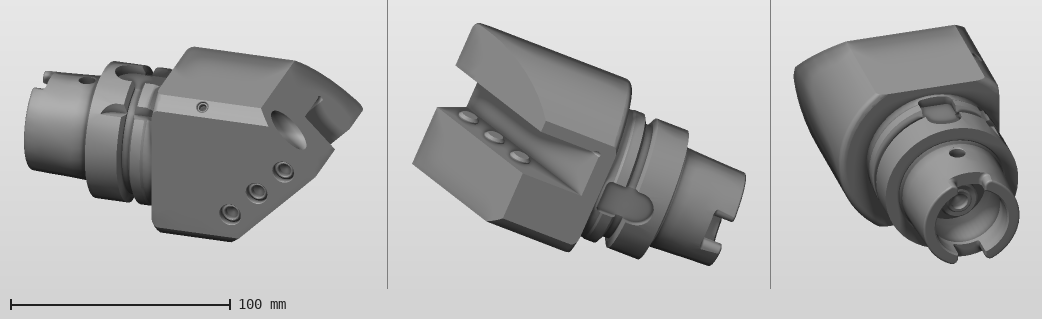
import cadquery as cq
import math


overall_length = 142

shank_end_x = -32.0
shank_end_radius = 45.6 / 2
shank_root_radius = 48.4 / 2
shank_edge_fillet = 1.0
neck_length = 2.0
neck_radius = 23.9
neck_flank = 0.4
face_groove_floor_radius = 24.8
face_groove_radius = 25.4
face_groove_depth = 0.4

bore_radius = 34.0 / 2
bore_chamfer = 0.7
clamp_recess_start_x = -19.7
clamp_recess_radius = 18.3
clamp_recess_angle = 60
bore_floor_radius = 16.0
bore_floor_x = 0.0
spigot_radius = 18.0 / 2
spigot_face_radius = 16.0 / 2
spigot_end_x = -11.5
nipple_base_radius = 12.0 / 2
nipple_face_radius = 10.5 / 2
spigot_hole_radius = 8.0 / 2
spigot_hole_depth = 2.8
spigot_hole_cone = 2.8

drive_slot_half_width = 6.2
drive_slot_crest = 20.7
drive_slot_lip_radius = 2.8
drive_slot_floor_radius = 1.4
top_slot_depth = 6.1
bottom_slot_depth = 10.1
access_hole_x = -8.8
access_hole_diameter = 7.5
access_hole_mouth = 9.0
access_hole_sink_angle = 120
access_hole_crest_z = 24.0

flange_radius = 62.9 / 2
flange_rear_x = 26.1
collar_radius = 62.0 / 2
collar_start_x = 27.3
groove_radius = 27.4
groove_wall_height = 1.4
groove_front_x = 15.0
groove_rear_x = 21.5
groove_floor_start_x = 16.5
groove_floor_end_x = 20.0

keyway_start_x = 5.0
keyway_end_x = 30.0
keyway_radius = 8.0
keyway_corner_radius = 2.5
keyway_floor_z = 26.4
notch_start_x = 4.3
notch_floor_z = 19.9
notch_wall_y = -20.0

head_start_x = 32.0
head_end_x = shank_end_x + overall_length
head_radius = 43.5
head_edge_fillet = 3.0
head_half_height = 70.0 / 2
head_flat_y = -32.0
nose_z = 7.1
nose_angle = 45

pocket_depth = 20.5
pocket_floor_wall_y = 19.9
pocket_screw_wall_y = -2.0
pocket_relief_radius = 1.4
pocket_relief_offset = 1.06
pocket_relief_y = 19.5

screw_mouth = 10.5
screw_diameter = 10.0
screw_count = 3
screw_pitch = 17.9
first_screw_x = 94.7
first_screw_z = 7.4
screw_face = 7.5
screw_socket = 6.0
screw_recess = 1.8
screw_socket_depth = 2.8
screw_clearance = 2.8
screw_tip_radius = 3.7
screw_tip_y = 0.0

outlet_diameter = 16.0
outlet_y = -20.9
outlet_z = 23.3
outlet_start_x = 65.3
plug_x = 55.1
plug_y = -28.4
plug_mouth = 6.0
plug_diameter = 5.3
plug_face = 4.3
plug_socket = 3.4
plug_recess = 0.7
plug_socket_depth = 2.1


def revolve_about_x(points):
    """Turn a closed outline of (x, radius) points about the X axis."""
    return cq.Workplane("XY").polyline(points).close().revolve(360, (0, 0, 0), (1, 0, 0))


def make_shank_and_flange():
    return revolve_about_x([
        (shank_end_x, 0),
        (shank_end_x, shank_end_radius),
        (-neck_length, shank_root_radius),
        (neck_flank - neck_length, neck_radius),
        (-neck_flank, neck_radius),
        (face_groove_depth, face_groove_floor_radius),
        (0, face_groove_radius),
        (0, flange_radius),
        (groove_front_x, flange_radius),
        (groove_floor_start_x, groove_radius + groove_wall_height),
        (groove_floor_start_x, groove_radius),
        (groove_floor_end_x, groove_radius),
        (groove_floor_end_x, groove_radius + groove_wall_height),
        (groove_rear_x, flange_radius),
        (flange_rear_x, flange_radius),
        (collar_start_x, collar_radius),
        (head_start_x, collar_radius),
        (head_start_x, 0),
    ])


def make_bore():
    """Space inside the shank, leaving the stepped coolant spigot standing."""
    nipple_height = nipple_base_radius - nipple_face_radius
    recess_cone_length = (clamp_recess_radius - bore_radius) / math.tan(math.radians(clamp_recess_angle))
    floor_cone_length = clamp_recess_radius - bore_floor_radius
    spigot_chamfer = spigot_radius - spigot_face_radius
    nipple_end_x = spigot_end_x - nipple_height
    hole_end_x = nipple_end_x + spigot_hole_depth
    return revolve_about_x([
        (shank_end_x, 0),
        (shank_end_x, bore_radius + bore_chamfer),
        (shank_end_x + bore_chamfer, bore_radius),
        (clamp_recess_start_x, bore_radius),
        (clamp_recess_start_x + recess_cone_length, clamp_recess_radius),
        (bore_floor_x - floor_cone_length, clamp_recess_radius),
        (bore_floor_x, bore_floor_radius),
        (bore_floor_x, spigot_radius),
        (spigot_end_x + spigot_chamfer, spigot_radius),
        (spigot_end_x, spigot_face_radius),
        (spigot_end_x, nipple_base_radius),
        (nipple_end_x, nipple_face_radius),
        (nipple_end_x, spigot_hole_radius),
        (hole_end_x, spigot_hole_radius),
        (hole_end_x + spigot_hole_cone, 0),
    ])


def make_drive_slot(depth, side):
    """Slot across the shank wall on the +Z (side = 1) or -Z (side = -1) half."""
    half = drive_slot_half_width
    lip = drive_slot_lip_radius
    crest = drive_slot_crest
    outer = flange_radius
    arc_mid = lip * (1 - math.sqrt(0.5))
    slot = (
        cq.Workplane("YZ", origin=(shank_end_x, 0, 0))
        .moveTo(-half, 0)
        .lineTo(-half, crest - lip)
        .threePointArc((-half - arc_mid, crest - arc_mid), (-half - lip, crest))
        .lineTo(-outer, crest)
        .lineTo(-outer, outer)
        .lineTo(outer, outer)
        .lineTo(outer, crest)
        .lineTo(half + lip, crest)
        .threePointArc((half + arc_mid, crest - arc_mid), (half, crest - lip))
        .lineTo(half, 0)
        .close()
        .extrude(depth)
        .faces(">X").edges("not <Z").fillet(drive_slot_floor_radius)
    )
    return slot if side > 0 else slot.mirror("XY")


def make_access_hole():
    """Radial hole with a countersink, from the clamping recess out through +Z."""
    hole_radius = access_hole_diameter / 2
    mouth_radius = access_hole_mouth / 2
    sink_depth = (mouth_radius - hole_radius) / math.tan(math.radians(access_hole_sink_angle / 2))
    return (
        cq.Workplane("XZ", origin=(access_hole_x, 0, 0))
        .polyline([
            (0, bore_radius),
            (hole_radius, bore_radius),
            (hole_radius, access_hole_crest_z - sink_depth),
            (mouth_radius, access_hole_crest_z),
            (mouth_radius, flange_radius),
            (0, flange_radius),
        ])
        .close()
        .revolve(360, (0, 0, 0), (0, 1, 0))
    )


def make_keyway(start_x, center_y, floor_z):
    """Key slot with a round front end, open outward from its floor in +Z."""
    straight_start_x = start_x + keyway_radius
    round_end = cq.Workplane("XY", origin=(straight_start_x, center_y, floor_z))
    round_end = round_end.circle(keyway_radius).extrude(flange_radius)
    length = keyway_end_x - straight_start_x
    straight = (
        cq.Workplane("XY", origin=(straight_start_x, center_y, floor_z))
        .rect(length, 2 * keyway_radius)
        .extrude(flange_radius)
        .translate((length / 2, 0, 0))
        .edges("|Z and >X").fillet(keyway_corner_radius)
    )
    return round_end.union(straight)


def make_head():
    length = head_end_x - head_start_x
    turned = cq.Workplane("YZ", origin=(head_start_x, 0, 0)).circle(head_radius).extrude(length)
    turned = turned.faces("<X or >X").edges().fillet(head_edge_fillet)
    nose_slope = math.tan(math.radians(nose_angle))
    top_x = head_end_x - (head_half_height - nose_z) / nose_slope
    bottom_x = head_end_x - (head_half_height + nose_z) / nose_slope
    outline = (
        cq.Workplane("XZ", origin=(0, head_flat_y, 0))
        .polyline([
            (head_start_x, -head_half_height),
            (bottom_x, -head_half_height),
            (head_end_x, nose_z),
            (top_x, head_half_height),
            (head_start_x, head_half_height),
        ])
        .close()
        .extrude(head_flat_y - head_radius)
    )
    return turned.intersect(outline)


def make_tool_pocket():
    """Channel of rectangular section, with a relieved corner, parallel to the lower nose face."""
    nose = cq.Plane(
        origin=(head_end_x, 0, nose_z),
        xDir=(0, 1, 0),
        normal=(math.cos(math.radians(nose_angle)), 0, math.sin(math.radians(nose_angle))),
    )
    width = pocket_floor_wall_y - pocket_screw_wall_y
    middle_y = (pocket_floor_wall_y + pocket_screw_wall_y) / 2
    channel = cq.Workplane(nose).center(middle_y, 0).rect(width, 2 * pocket_depth)
    channel = channel.extrude(overall_length, both=True)
    relief = cq.Workplane(nose).center(pocket_relief_y, pocket_depth - pocket_relief_offset)
    relief = relief.circle(pocket_relief_radius).extrude(overall_length, both=True)
    return channel.union(relief)


def make_screw_recess(place, outward, mouth, diameter, face, socket, recess, socket_depth):
    """Space left above a set screw sunk at 'place'; 'outward' is the (y, z) direction out of the hole."""
    mouth_radius = mouth / 2
    hole_radius = diameter / 2
    face_radius = face / 2
    socket_radius = socket / 2
    socket_chamfer = (face_radius - socket_radius) / 2
    socket_floor = recess + socket_depth
    out_y, out_z = outward
    section = cq.Plane(origin=place, xDir=(1, 0, 0), normal=(0, -out_z, out_y))
    return (
        cq.Workplane(section)
        .polyline([
            (0, screw_clearance),
            (mouth_radius, screw_clearance),
            (mouth_radius, 0),
            (hole_radius, hole_radius - mouth_radius),
            (hole_radius, -recess - (hole_radius - face_radius)),
            (face_radius, -recess),
            (socket_radius + socket_chamfer, -recess),
            (socket_radius, -recess - socket_chamfer),
            (socket_radius, -socket_floor),
            (0, -socket_floor - socket_radius / 2),
        ])
        .close()
        .revolve(360, (0, 0, 0), (0, 1, 0))
    )


def clamp_screw_places():
    """(x, z) of the clamping screws, in a row parallel to the lower nose face."""
    step_x = screw_pitch * math.cos(math.radians(nose_angle))
    step_z = screw_pitch * math.sin(math.radians(nose_angle))
    return [(first_screw_x - i * step_x, first_screw_z - i * step_z) for i in range(screw_count)]


def make_screw_tip(x, z):
    """End of a clamping screw standing out of the pocket wall."""
    height = screw_tip_y - pocket_screw_wall_y
    tip = cq.Workplane("XZ", origin=(x, screw_tip_y, z)).circle(screw_diameter / 2).extrude(height)
    return tip.faces(">Y").chamfer(screw_diameter / 2 - screw_tip_radius)


def make_outlet():
    outlet = cq.Workplane("YZ", origin=(outlet_start_x, outlet_y, outlet_z))
    return outlet.circle(outlet_diameter / 2).extrude(head_end_x - outlet_start_x)


def make_plug_recess():
    """Sunken plug set radially into the turned surface beside the top flat."""
    plug_z = math.sqrt(head_radius ** 2 - plug_y ** 2)
    return make_screw_recess((plug_x, plug_y, plug_z), (plug_y, plug_z), plug_mouth, plug_diameter,
                             plug_face, plug_socket, plug_recess, plug_socket_depth)


def make_clamp_screw_recess(x, z):
    return make_screw_recess((x, head_flat_y, z), (-1, 0), screw_mouth, screw_diameter,
                             screw_face, screw_socket, screw_recess, screw_socket_depth)


result = make_shank_and_flange()
result = result.cut(make_drive_slot(top_slot_depth, 1))
result = result.cut(make_drive_slot(bottom_slot_depth, -1))
result = result.faces("<X").edges().fillet(shank_edge_fillet)
result = result.cut(make_bore())
result = result.cut(make_access_hole())

keyway = make_keyway(keyway_start_x, 0, keyway_floor_z)
result = result.cut(keyway).cut(keyway.mirror("XY"))
result = result.cut(make_keyway(notch_start_x, notch_wall_y - keyway_radius, notch_floor_z))

result = result.union(make_head())
result = result.cut(make_tool_pocket())
result = result.cut(make_outlet())
result = result.cut(make_plug_recess())
for screw_x, screw_z in clamp_screw_places():
    result = result.cut(make_clamp_screw_recess(screw_x, screw_z))
    result = result.union(make_screw_tip(screw_x, screw_z))